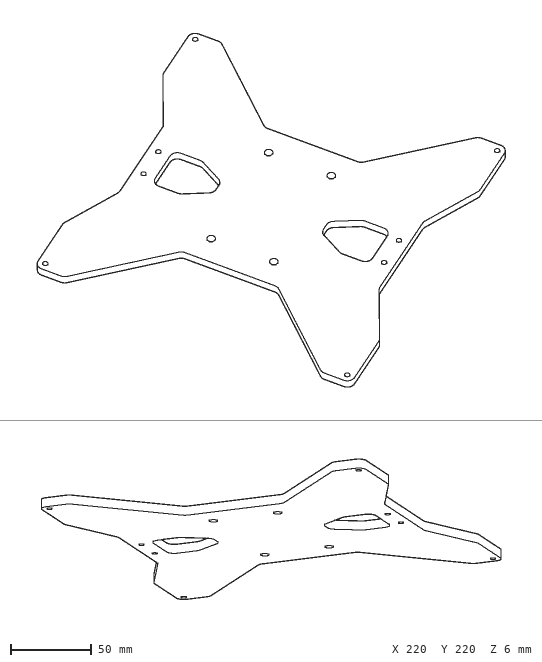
import cadquery as cq

side = 220.0
thickness = 6.0
half = side / 2
corner_radius = 5.0

arm_end_x = 89.5
arm_end_y = 69.7
body_half_x = 90.5
body_half_y = 58.0
body_corner_x = 33.2
body_corner_y = 31.0

small_diameter = 3.3
large_diameter = 5.3
tip_hole = half - corner_radius
side_hole_x = 83.5
side_hole_y = 10.3
centre_hole_x = 21.8
centre_hole_y = 40.3

window_outer_x = 75.5
window_shoulder_x = 55.9
window_inner_x = 37.5
window_half_y = 15.5
window_inner_half_y = 5.0
window_radius = 5.0


def mirrored_points(x, y):
    """One point in each quadrant."""
    return [(sx * x, sy * y) for sx in (-1, 1) for sy in (-1, 1)]


def make_plate():
    quadrant = [
        (body_half_x, body_corner_y),
        (half, arm_end_y),
        (half, half),
        (arm_end_x, half),
        (body_corner_x, body_half_y),
    ]
    upper_left = [(-x, y) for x, y in reversed(quadrant)]
    upper = quadrant + upper_left
    lower = [(-x, -y) for x, y in upper]
    plate = cq.Workplane("XY").polyline(upper + lower).close().extrude(thickness)
    return plate.edges("|Z").fillet(corner_radius)


def make_window(direction):
    """Cutter for the window on the +X (1) or -X (-1) side."""
    upper = [
        (direction * window_outer_x, window_half_y),
        (direction * window_shoulder_x, window_half_y),
        (direction * window_inner_x, window_inner_half_y),
    ]
    lower = [(x, -y) for x, y in reversed(upper)]
    window = cq.Workplane("XY").polyline(upper + lower).close().extrude(thickness)
    return window.edges("|Z").fillet(window_radius)


def drill(plate, x, y, diameter):
    """Through hole in each quadrant."""
    cutter = cq.Workplane("XY").pushPoints(mirrored_points(x, y))
    return plate.cut(cutter.circle(diameter / 2).extrude(thickness))


result = make_plate()
for direction in (-1, 1):
    result = result.cut(make_window(direction))
result = drill(result, tip_hole, tip_hole, small_diameter)
result = drill(result, side_hole_x, side_hole_y, small_diameter)
result = drill(result, centre_hole_x, centre_hole_y, large_diameter)